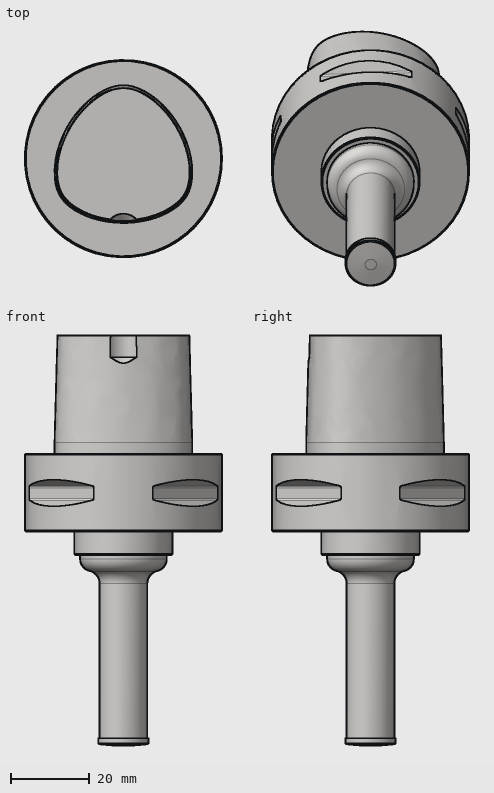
import cadquery as cq
import math

overall_height = 104.0
shank_height = 30.0
collar_height = 19.8
neck_height = 5.9
collar_top = overall_height - shank_height
collar_bottom = collar_top - collar_height
neck_bottom = collar_bottom - neck_height

shank_base_radius = 17.5
shank_top_radius = 16.7
lobe_offset = 1.1
lobe_point_count = 36
straight_height = 2.8

notch_radius = 4.4
notch_axis_offset = 18.3
notch_depth = 5.5
notch_point_height = 3.6

collar_diameter = 50.0
neck_diameter = 25.0
edge_chamfer = 0.3

slot_count = 4
slot_first_angle = 45.0
slot_floor_radius = 22.2
slot_floor_width = 3.4
slot_wall_angle = 30.0
slot_corner_radius = 0.6
slot_middle_height = 64.1
slot_clearance = 1.0

head_diameter = 22.0
head_rim_height = 0.9
flare_height = 6.2
rod_diameter = 12.2
tip_diameter = 12.8
tip_height = 2.0
tip_end_height = 0.4
tip_end_chamfer = 0.3
tip_end_flat_diameter = 2.9


def lobed_wire(mean_radius, z):
    """Closed three-lobed curve of constant width, with one lobe toward +Y."""
    points = []
    for index in range(lobe_point_count):
        t = 2 * math.pi * index / lobe_point_count
        along = mean_radius * math.cos(t) + lobe_offset * (2 * math.cos(2 * t) - math.cos(4 * t))
        across = mean_radius * math.sin(t) - lobe_offset * (2 * math.sin(2 * t) + math.sin(4 * t))
        points.append(cq.Vector(-across, along, z))
    return cq.Wire.assembleEdges([cq.Edge.makeSpline(points, periodic=True)])


def make_shank():
    """Ruled solid with a straight foot and a taper above it."""
    base = lobed_wire(shank_base_radius, collar_top)
    taper_start = lobed_wire(shank_base_radius, collar_top + straight_height)
    top = lobed_wire(shank_top_radius, overall_height)
    return cq.Workplane("XY").newObject([cq.Solid.makeLoft([base, taper_start, top], True)])


def make_notch_cutter():
    """Vertical round cutter with a conical end, revolved about its own axis."""
    cone_base = overall_height - notch_depth
    return (
        cq.Workplane("XZ")
        .moveTo(0, overall_height)
        .lineTo(notch_radius, overall_height)
        .lineTo(notch_radius, cone_base)
        .lineTo(0, cone_base - notch_point_height)
        .close()
        .revolve(360, (0, 0, 0), (0, 1, 0))
        .translate((0, -notch_axis_offset, 0))
    )


def make_slot_cutter(angle):
    """Straight slot with a flat floor and walls that open outward."""
    outer_radius = collar_diameter / 2 + slot_clearance
    half_floor = slot_floor_width / 2
    wall_spread = (outer_radius - slot_floor_radius) * math.tan(math.radians(slot_wall_angle))
    half_mouth = half_floor + wall_spread
    return (
        cq.Workplane("XZ")
        .moveTo(slot_floor_radius, -half_floor)
        .lineTo(outer_radius, -half_mouth)
        .lineTo(outer_radius, half_mouth)
        .lineTo(slot_floor_radius, half_floor)
        .close()
        .extrude(collar_diameter / 2, both=True)
        .edges("<X")
        .fillet(slot_corner_radius)
        .translate((0, 0, slot_middle_height))
        .rotate((0, 0, 0), (0, 0, 1), angle)
    )


def make_holder():
    collar = (
        cq.Workplane("XY")
        .workplane(offset=collar_bottom)
        .circle(collar_diameter / 2)
        .extrude(collar_height)
        .edges()
        .chamfer(edge_chamfer)
    )
    neck = (
        cq.Workplane("XY")
        .workplane(offset=neck_bottom)
        .circle(neck_diameter / 2)
        .extrude(neck_height)
        .faces("<Z")
        .chamfer(edge_chamfer)
    )
    body = collar.union(neck).union(make_shank()).cut(make_notch_cutter())
    for index in range(slot_count):
        body = body.cut(make_slot_cutter(slot_first_angle + index * 360 / slot_count))
    return body


def make_arbor():
    """Turned arbor whose head sits against the end of the holder neck."""
    head_radius = head_diameter / 2
    rod_radius = rod_diameter / 2
    tip_radius = tip_diameter / 2
    flare_top = neck_bottom - head_rim_height
    flare_bottom = flare_top - flare_height
    flare_middle = ((head_radius + rod_radius) / 2, (flare_top + flare_bottom) / 2)
    return (
        cq.Workplane("XZ")
        .moveTo(0, neck_bottom)
        .lineTo(head_radius, neck_bottom)
        .lineTo(head_radius, flare_top)
        .tangentArcPoint(flare_middle, relative=False)
        .tangentArcPoint((rod_radius, flare_bottom), relative=False)
        .lineTo(rod_radius, tip_height)
        .lineTo(tip_radius, tip_height)
        .lineTo(tip_radius, tip_end_height + tip_end_chamfer)
        .lineTo(tip_radius - tip_end_chamfer, tip_end_height)
        .lineTo(tip_end_flat_diameter / 2, 0)
        .lineTo(0, 0)
        .close()
        .revolve(360, (0, 0, 0), (0, 1, 0))
    )


holder = make_holder()
arbor = make_arbor()
result = cq.Compound.makeCompound([holder.solids().val(), arbor.val()])